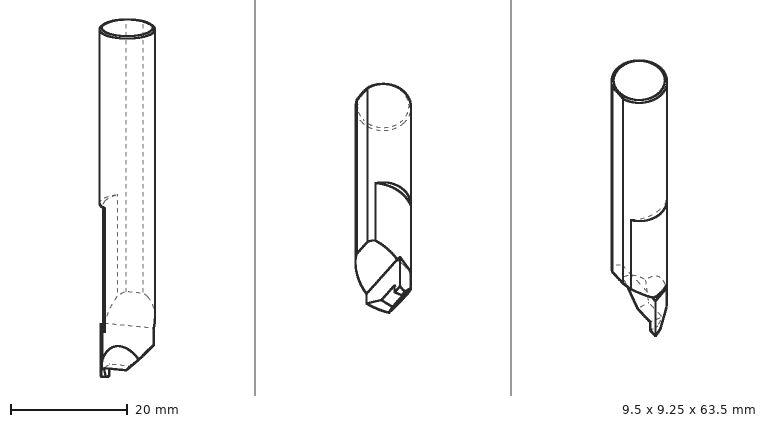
import cadquery as cq
import math

length = 63.5
radius = 4.75
flat_y = 4.5
chamfer_radial = 0.4
chamfer_height = 0.3
margin = 3.2
reach = radius + margin

relief_bottom = 9.35
relief_top = 31.7
relief_x = -4.0
relief_half_width = 3.8
relief_edge_x = -math.sqrt(radius**2 - relief_half_width**2)

runout_z = 9.5

clearance_x = -3.5
clearance_y = -math.sqrt(radius**2 - clearance_x**2)

slope_top_z = 7.35
slope_end_y = -1.45
slope_end_z = 0.3
slope = (slope_top_z - slope_end_z) / (radius + slope_end_y)

tip_x = -3.2
tip_back_x = -3.35
tip_chamfer = 0.2
step_z = 2.2
step_end_x = 0.5


def make_shank():
    shank = cq.Workplane("XY").circle(radius).extrude(length)
    top_cone = (
        cq.Workplane("XZ")
        .moveTo(radius - chamfer_radial, length)
        .lineTo(radius, length - chamfer_height)
        .lineTo(radius, length)
        .close()
        .revolve(360, (0, 0, 0), (0, 1, 0))
    )
    back = cq.Workplane("XY").box(2 * reach, margin, length, centered=(True, False, False))
    return shank.cut(top_cone).cut(back.translate((0, flat_y, 0)))


def make_side_relief():
    return (
        cq.Workplane("XY", origin=(0, 0, relief_bottom))
        .moveTo(relief_edge_x, relief_half_width)
        .threePointArc((relief_x, 0), (relief_edge_x, -relief_half_width))
        .lineTo(-reach, -relief_half_width)
        .lineTo(-reach, relief_half_width)
        .close()
        .extrude(relief_top - relief_bottom)
    )


def extrude_along_x(points):
    """Extrude a (Y, Z) outline across the whole width."""
    return cq.Workplane("YZ").polyline(points).close().extrude(reach, both=True)


def make_rake_cut():
    return extrude_along_x([
        (0, -margin), (0, runout_z), (reach, runout_z + reach), (reach, -margin),
    ])


def make_underside_cut():
    return extrude_along_x([
        (-reach, slope_top_z + slope * margin),
        (-reach, slope_end_z),
        (slope_end_y, slope_end_z),
    ])


def make_end_cut():
    """Sloping end face, level with z = 0 at the rake face."""
    return extrude_along_x([
        (0, 0), (slope_end_y, slope_end_z), (-reach, slope_end_z), (-reach, -margin), (0, -margin),
    ])


def make_clearance_cut():
    edge_slope = (clearance_x + radius) / clearance_y
    return (
        cq.Workplane("XY")
        .polyline([
            (-radius, 0), (-radius - edge_slope * reach, -reach), (-reach, -reach), (-reach, 0),
        ])
        .close()
        .extrude(relief_bottom)
    )


def make_step_cut():
    """Room beside the tip: a level step followed by a 45 degree rise."""
    profile = (
        cq.Workplane("XZ")
        .polyline([
            (-reach, step_z), (step_end_x, step_z),
            (reach, step_z + reach - step_end_x), (reach, -margin), (-reach, -margin),
        ])
        .close()
        .extrude(reach, both=True)
    )
    tip_taper = (tip_x - tip_back_x) / -slope_end_y
    tip = (
        cq.Workplane("XY", origin=(0, 0, -margin))
        .polyline([
            (-reach, 0), (tip_x, 0), (tip_x - tip_taper * reach, -reach), (-reach, -reach),
        ])
        .close()
        .extrude(step_z + margin)
    )
    corner = (
        cq.Workplane("XZ")
        .polyline([(tip_x - tip_chamfer, 0), (tip_x, tip_chamfer), (tip_x, 0)])
        .close()
        .extrude(reach)
    )
    return profile.cut(tip).union(corner)


result = make_shank()
for cut in (
    make_side_relief(), make_rake_cut(), make_underside_cut(),
    make_end_cut(), make_clearance_cut(), make_step_cut(),
):
    result = result.cut(cut)